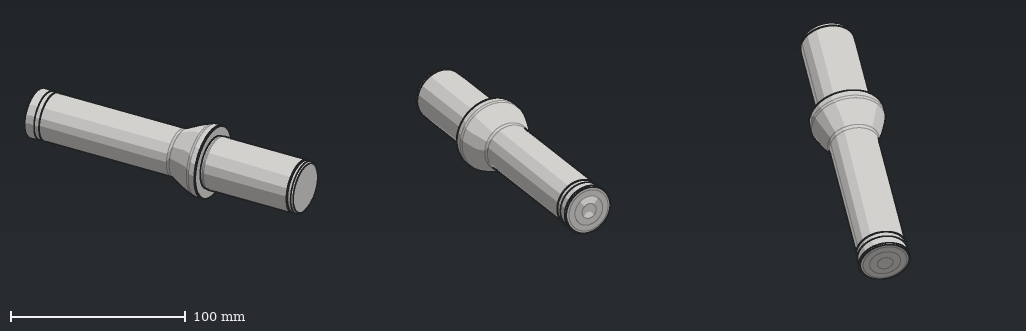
import cadquery as cq
import math

total_length = 177.0
spigot_start = 7.5
head_length = 10.8
blend_start = 93.8
cone_start = 96.0
cone_end = 110.8
collar_start = 112.4
collar_end = 116.8
neck_end = 117.9
shank_start = 119.0
shank_end = 173.3
end_land_start = 173.8

head_front_radius = 15.0
head_rear_radius = 14.78
head_chamfer_end = 1.6
face_flat_radius = 12.7
face_flat_x = 0.7
face_edge_radius = 14.3
face_edge_x = 0.8
boss_radius = 9.0
boss_base_x = 0.45
rim_radius = 4.6
dish_depth = 0.5

bar_radius = 29.0 / 2
collar_radius = 44.0 / 2
collar_chamfer = 0.5
cone_start_radius = 15.0
cone_end_radius = 21.6
cone_bulge = 0.45
neck_radius = 31.5 / 2
shank_radius = 32.0 / 2
end_chamfer = 1.0


def revolve_about_x(profile):
    """Turn a closed (x, radius) outline into a solid of revolution about X."""
    return profile.close().revolve(360, (0, 0, 0), (1, 0, 0))


def make_head():
    """Slightly tapered tip with a low raised rim around a conical dish.

    A shallow socket in its rear face takes the end of the bar.
    """
    profile = (
        cq.Workplane("XY")
        .moveTo(dish_depth, 0)
        .lineTo(0, rim_radius)
        .lineTo(boss_base_x, boss_radius)
        .lineTo(face_flat_x, face_flat_radius)
        .lineTo(face_edge_x, face_edge_radius)
        .lineTo(head_chamfer_end, head_front_radius)
        .lineTo(head_length, head_rear_radius)
        .lineTo(head_length, bar_radius)
        .lineTo(spigot_start, bar_radius)
        .lineTo(spigot_start, 0)
    )
    return revolve_about_x(profile)


def make_shaft():
    """Bar flaring through a bulged cone to a collar, then a stepped shank."""
    cone_run = cone_end - cone_start
    cone_rise = cone_end_radius - cone_start_radius
    cone_length = math.hypot(cone_run, cone_rise)
    cone_middle = (
        (cone_start + cone_end) / 2 - cone_bulge * cone_rise / cone_length,
        (cone_start_radius + cone_end_radius) / 2 + cone_bulge * cone_run / cone_length,
    )
    profile = (
        cq.Workplane("XY")
        .moveTo(spigot_start, 0)
        .lineTo(spigot_start, bar_radius)
        .lineTo(blend_start, bar_radius)
        .tangentArcPoint((cone_start, cone_start_radius), relative=False)
        .threePointArc(cone_middle, (cone_end, cone_end_radius))
        .tangentArcPoint((collar_start, collar_radius), relative=False)
        .lineTo(collar_end - collar_chamfer, collar_radius)
        .lineTo(collar_end, collar_radius - collar_chamfer)
        .lineTo(collar_end, neck_radius)
        .lineTo(neck_end, neck_radius)
        .lineTo(shank_start, shank_radius)
        .lineTo(shank_end, shank_radius)
        .lineTo(end_land_start, neck_radius)
        .lineTo(total_length - end_chamfer, neck_radius)
        .lineTo(total_length, neck_radius - end_chamfer)
        .lineTo(total_length, 0)
    )
    return revolve_about_x(profile)


head = make_head()
shaft = make_shaft()

result = cq.Compound.makeCompound([head.val(), shaft.val()])